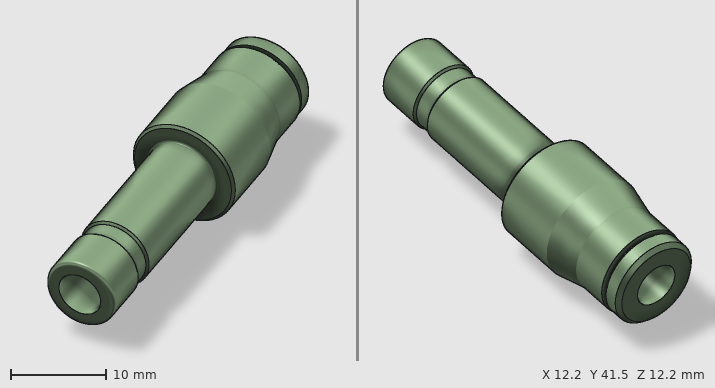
import cadquery as cq

length = 41.5

collar_radius = 5.1
collar_chamfer = 0.5
collar_end = 2.05
neck_radius = 4.45
neck_end = 2.65

sleeve_radius = 5.22
sleeve_end = 6.95
body_radius = 6.1
taper_end = 10.8
body_end = 18.8
body_chamfer = 0.3

stem_radius = 4.05
stem_root_fillet = 0.25
stem_tip_fillet = 0.5
groove_start = 33.7
groove_end = 36.1
groove_radius = 3.8

bore_radius = 2.5


def make_outer_profile():
    """Half profile in the XY plane: X is the radius, Y runs along the part."""
    back = length / 2
    front = -length / 2
    groove_depth = stem_radius - groove_radius

    def point(radius, station):
        return radius, back - station

    return (
        cq.Workplane("XY")
        .moveTo(*point(0, 0))
        .lineTo(*point(collar_radius - collar_chamfer, 0))
        .lineTo(*point(collar_radius, collar_chamfer))
        .lineTo(*point(collar_radius, collar_end))
        .lineTo(*point(neck_radius, collar_end))
        .lineTo(*point(neck_radius, neck_end))
        .lineTo(*point(sleeve_radius, neck_end))
        .lineTo(*point(sleeve_radius, sleeve_end))
        .lineTo(*point(body_radius, taper_end))
        .lineTo(*point(body_radius, body_end - body_chamfer))
        .lineTo(*point(body_radius - body_chamfer, body_end))
        .lineTo(*point(stem_radius + stem_root_fillet, body_end))
        .radiusArc(point(stem_radius, body_end + stem_root_fillet), -stem_root_fillet)
        .lineTo(*point(stem_radius, groove_start))
        .lineTo(*point(groove_radius, groove_start + groove_depth))
        .lineTo(*point(groove_radius, groove_end - groove_depth))
        .lineTo(*point(stem_radius, groove_end))
        .lineTo(*point(stem_radius, length - stem_tip_fillet))
        .radiusArc((stem_radius - stem_tip_fillet, front), stem_tip_fillet)
        .lineTo(0, front)
        .close()
    )


def make_bore():
    return cq.Workplane("XZ", origin=(0, length / 2, 0)).circle(bore_radius).extrude(length)


outer = make_outer_profile().revolve(360, (0, 0, 0), (0, 1, 0))
result = outer.cut(make_bore())